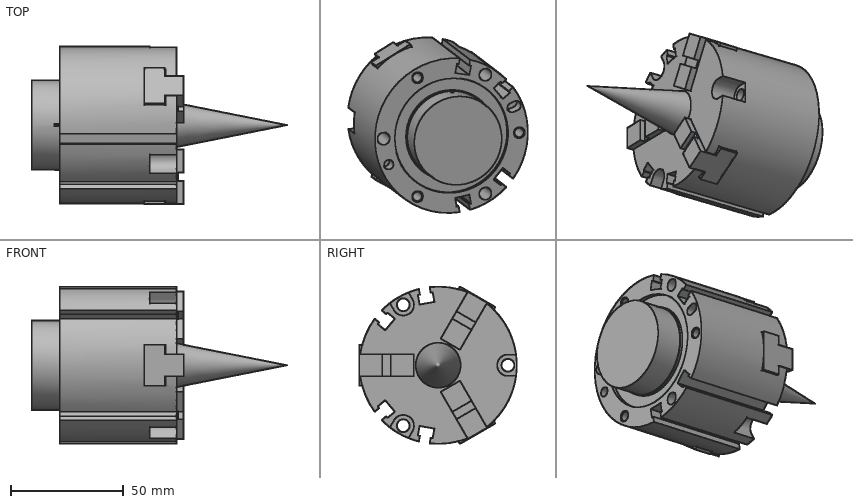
import cadquery as cq


housing_radius = 35.0
housing_length = 52.0
recess_radius = 25.9
recess_depth = 2.0

jaw_angles = (60, 180, 300)
jaw_inner = 10.8
jaw_outer = 35.1
jaw_projection = 3.1
head_start = 37.7
head_length = 9.0
head_width = 18.2
head_clearance = 0.5
stem_width = 9.9
notch_width = 3.7
notch_depth = 2.3
notch_place = 22.9

hole_circle_radius = 31.0
jaw_pitch = 360 / len(jaw_angles)
mounting_angles = [angle + jaw_pitch / 2 for angle in jaw_angles]
mounting_diameter = 5.6
scoop_width = 9.5
scoop_depth = 12.0
tapped_diameter = 4.2
tapped_mouth_diameter = 5.0
tapped_depth = 14.8

pin_hole_diameter = 4.3
pin_slot_length = 6.2
pin_hole_angle = -22.5
pin_slot_angle = pin_hole_angle + 180
pin_hole_depth = 8.0

sensor_spread = 19.8
sensor_angles = [angle + side * sensor_spread for angle in mounting_angles[:2] for side in (-1, 1)]
sensor_floor = 28.0
sensor_step = 32.2
sensor_wide = 6.6
sensor_neck = 4.8

boss_radius = 20.0
boss_projection = 12.4
collar_radius = 20.3
collar_length = 1.2
index_width = 1.0
index_depth = 0.51
index_projection = 2.4

cone_base_radius = 10.0
cone_seat_depth = 0.9
overall_length = 113.5
cone_projection = overall_length - boss_projection - housing_length

through_margin = 1.1


def turned(shape, angle):
    """Turn a shape about the X axis."""
    return shape.rotate((0, 0, 0), (1, 0, 0), angle)


def block(x_start, x_end, inner, outer, width):
    """A block that reaches along +Y from inner to outer, centred on Z = 0."""
    return (
        cq.Workplane("XY")
        .box(x_end - x_start, outer - inner, width, centered=False)
        .translate((x_start, inner, -width / 2))
    )


def rod(x_start, x_end, radius, distance=0.0):
    """A cylinder along X whose axis is at Y = distance."""
    return (
        cq.Workplane("YZ", origin=(x_start, 0, 0))
        .center(distance, 0)
        .circle(radius)
        .extrude(x_end - x_start)
    )


def tee(outer, clearance):
    """T-shaped bar along +Y: wide head inside the housing, narrow stem out of its front."""
    head = block(head_start, head_start + head_length + clearance, jaw_inner, outer, head_width)
    stem = block(head_start, housing_length + jaw_projection, jaw_inner, outer, stem_width)
    return head.union(stem)


def make_jaw(angle):
    """Jaw that slides in its T-shaped slot, with a notch across its front face."""
    front = housing_length + jaw_projection
    notch = block(
        front - notch_depth,
        front,
        notch_place - notch_width / 2,
        notch_place + notch_width / 2,
        stem_width,
    )
    return turned(tee(jaw_outer, clearance=0).cut(notch), angle)


def mounting_hole():
    """Through hole with a front counterbore that is open to the side of the housing."""
    scoop_start = housing_length - scoop_depth
    hole = rod(0, housing_length, mounting_diameter / 2, hole_circle_radius)
    counterbore = rod(scoop_start, housing_length, scoop_width / 2, hole_circle_radius)
    opening = block(
        scoop_start,
        housing_length,
        hole_circle_radius,
        housing_radius + through_margin,
        scoop_width,
    )
    return hole.union(counterbore).union(opening)


def tapped_hole():
    """Blind hole in the rear face with a 45 degree countersink."""
    mouth = tapped_mouth_diameter / 2
    core = tapped_diameter / 2
    profile = [(0, 0), (0, mouth), (mouth - core, core), (tapped_depth, core), (tapped_depth, 0)]
    return (
        cq.Workplane("XY")
        .polyline(profile)
        .close()
        .revolve(360, (0, 0, 0), (1, 0, 0))
        .translate((0, hole_circle_radius, 0))
    )


def pin_slot():
    """Blind slot in the rear face, long in the radial direction."""
    return (
        cq.Workplane("YZ")
        .center(hole_circle_radius, 0)
        .slot2D(pin_slot_length, pin_hole_diameter)
        .extrude(pin_hole_depth)
    )


def sensor_groove():
    """Undercut groove along the whole housing, open to its side through a narrow neck."""
    wide = block(0, housing_length, sensor_floor, sensor_step, sensor_wide)
    neck = block(0, housing_length, sensor_floor, housing_radius + through_margin, sensor_neck)
    return wide.union(neck)


def make_housing():
    body = rod(0, housing_length, housing_radius)
    body = body.cut(rod(0, recess_depth, recess_radius))
    body = body.cut(rod(housing_length - cone_seat_depth, housing_length, cone_base_radius))
    for angle in jaw_angles:
        body = body.cut(turned(tee(housing_radius + through_margin, head_clearance), angle))
        body = body.cut(turned(tapped_hole(), angle))
    for angle in mounting_angles:
        body = body.cut(turned(mounting_hole(), angle))
    for angle in sensor_angles:
        body = body.cut(turned(sensor_groove(), angle))
    pin_hole = rod(0, pin_hole_depth, pin_hole_diameter / 2, hole_circle_radius)
    body = body.cut(turned(pin_hole, pin_hole_angle))
    return body.cut(turned(pin_slot(), pin_slot_angle))


def make_boss():
    """Rear boss standing on the recess floor, with a collar at its foot and a V-shaped index mark."""
    collar_start = recess_depth - collar_length
    shaft = rod(-boss_projection, recess_depth, boss_radius)
    index_length = index_projection + collar_start
    index_mark = (
        cq.Workplane("YZ", origin=(-index_projection, 0, boss_radius))
        .polyline([(-index_width / 2, 0), (index_width / 2, 0), (0, -index_depth)])
        .close()
        .extrude(index_length)
    )
    return shaft.cut(index_mark).union(rod(collar_start, recess_depth, collar_radius))


def make_cone():
    profile = [(0, 0), (0, cone_base_radius), (cone_seat_depth + cone_projection, 0)]
    return (
        cq.Workplane("XY", origin=(housing_length - cone_seat_depth, 0, 0))
        .polyline(profile)
        .close()
        .revolve(360, (0, 0, 0), (1, 0, 0))
    )


housing = make_housing()
jaws = [make_jaw(angle) for angle in jaw_angles]
boss = make_boss()
cone = make_cone()

result = cq.Compound.makeCompound(
    [housing.val(), *[jaw.val() for jaw in jaws], boss.val(), cone.val()]
)